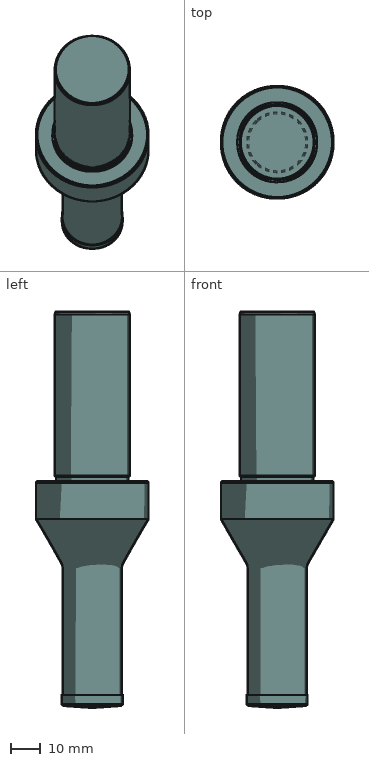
import cadquery as cq
import math

TOTAL_LENGTH = 133.6
TIP_TOP_Z = 4.4
COLLAR_BOTTOM_Z = 63.7
COLLAR_TOP_Z = 76.4

SHANK_RADIUS = 12.7
SHANK_CHAMFER_WIDTH = 0.4
SHANK_CHAMFER_HEIGHT = 1.0
RELIEF_START_Z = 78.3
RELIEF_DEPTH = 0.4
RELIEF_FACE_RADIUS = 13.5
RELIEF_FACE_DEPTH = 0.4

COLLAR_RADIUS = 19.04
COLLAR_CHAMFER = 0.5
CONE_HALF_ANGLE = math.radians(30)
CONE_FILLET_RADIUS = 4.0
STEM_RADIUS = 10.0

TIP_RADIUS = 10.3
TIP_EDGE_Z = 1.3
TIP_FACE_RADIUS = 9.6
TIP_FACE_Z = 0.7


def make_holder():
    """Shank, collar, cone and stem turned as one body."""
    neck_radius = SHANK_RADIUS - RELIEF_DEPTH
    relief_bottom_z = COLLAR_TOP_Z - RELIEF_FACE_DEPTH

    fillet_end_radius = STEM_RADIUS + CONE_FILLET_RADIUS * (1 - math.cos(CONE_HALF_ANGLE))
    fillet_end_z = COLLAR_BOTTOM_Z - (COLLAR_RADIUS - fillet_end_radius) / math.tan(CONE_HALF_ANGLE)
    fillet_start_z = fillet_end_z - CONE_FILLET_RADIUS * math.sin(CONE_HALF_ANGLE)
    half_turn = CONE_HALF_ANGLE / 2
    fillet_mid = (
        STEM_RADIUS + CONE_FILLET_RADIUS * (1 - math.cos(half_turn)),
        fillet_start_z + CONE_FILLET_RADIUS * math.sin(half_turn),
    )

    return (
        cq.Workplane("XZ")
        .moveTo(0, TIP_TOP_Z)
        .lineTo(STEM_RADIUS, TIP_TOP_Z)
        .lineTo(STEM_RADIUS, fillet_start_z)
        .threePointArc(fillet_mid, (fillet_end_radius, fillet_end_z))
        .lineTo(COLLAR_RADIUS, COLLAR_BOTTOM_Z)
        .lineTo(COLLAR_RADIUS, COLLAR_TOP_Z - COLLAR_CHAMFER)
        .lineTo(COLLAR_RADIUS - COLLAR_CHAMFER, COLLAR_TOP_Z)
        .lineTo(RELIEF_FACE_RADIUS, COLLAR_TOP_Z)
        .lineTo(SHANK_RADIUS, relief_bottom_z)
        .lineTo(neck_radius, relief_bottom_z)
        .lineTo(neck_radius, RELIEF_START_Z - RELIEF_DEPTH)
        .lineTo(SHANK_RADIUS, RELIEF_START_Z)
        .lineTo(SHANK_RADIUS, TOTAL_LENGTH - SHANK_CHAMFER_HEIGHT)
        .lineTo(SHANK_RADIUS - SHANK_CHAMFER_WIDTH, TOTAL_LENGTH)
        .lineTo(0, TOTAL_LENGTH)
        .close()
        .revolve(360, (0, 0, 0), (0, 1, 0))
    )


def make_tip():
    """Head slightly wider than the stem, with a very shallow conical face."""
    return (
        cq.Workplane("XZ")
        .lineTo(TIP_FACE_RADIUS, TIP_FACE_Z)
        .lineTo(TIP_RADIUS, TIP_EDGE_Z)
        .lineTo(TIP_RADIUS, TIP_TOP_Z)
        .lineTo(0, TIP_TOP_Z)
        .close()
        .revolve(360, (0, 0, 0), (0, 1, 0))
    )


holder = make_holder()
tip = make_tip()
result = cq.Compound.makeCompound([holder.val(), tip.val()])